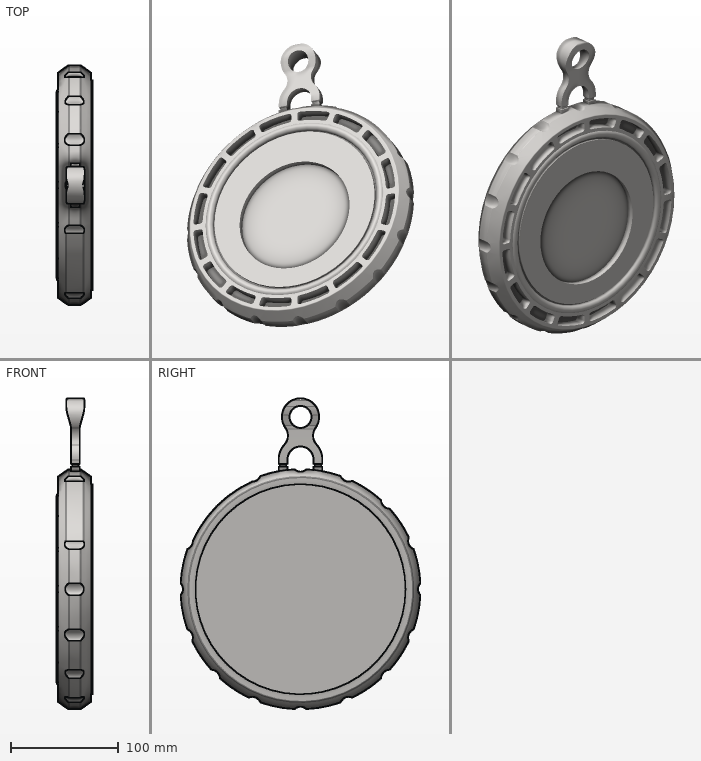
import cadquery as cq
import math

overall_width = 33.57
body_width = 31.0
crown_radius = 111.5
flat_crown_radius = 109.5
shoulder_radius = 104.5
crown_half_width = 5.4
crown_blend = 1.4
shoulder_blend = 1.0

half_body = body_width / 2
lip_height = (overall_width - body_width) / 2

scallop_count = 16
scallop_pitch = 360 / scallop_count
scallop_radius = 8.0
scallop_floor_radii = (109.2, 108.9)
sector_start = scallop_pitch
sector_angle = 2 * scallop_pitch
plain_scallop = 2

bead_crest_radius = 85.7
bead_tube_radius = 4.1
back_plate_radius = 97.5

floor_radius = 80.0
floor_depth = 0.7
groove_depth = 3.0
pocket_radius = 55.0
pocket_centre_z = -6.0
pocket_depth = 6.5

slot_count = 16
slot_inner_radius = 91.8
slot_outer_radius = 101.0
slot_depth = 11.0
slot_corner = 2.5
rib_width = 6.0

hanger_x = 0.8
eye_centre_z = 159.95
eye_hole_radius = 10.1
eye_top_z = 177.3
eye_radius = eye_top_z - eye_centre_z
arch_centre_z = 120.4
arch_radius = 12.0
fork_radius = 20.4
waist_radius = 12.5

hanger_thickness = 8.4
eye_thickness = 17.0
eye_edge_blend = 1.8
eye_flat_z = 169.8
taper_top_z = 162.0
taper_top_half = 7.3
taper_bottom_z = 152.4
taper_bottom_half = 4.6
eye_foot_z = 149.0

fork_tip_z = 116.7
tip_chamfer = 1.1
tip_neck_z = fork_tip_z - tip_chamfer
foot_top_z = 113.7
foot_bottom_z = 105.0


def turned_x(section, angle):
    """Revolve an XY section about X, starting at -Y and turning towards +Z."""
    return section.revolve(angle, (0, 0, 0), (-1, 0, 0))


def make_disc():
    """Rim with conical flanks and a flat crown that is lower over one sector."""
    section = (
        cq.Workplane("XY")
        .polyline([
            (-half_body, 0),
            (-half_body, -shoulder_radius),
            (-crown_half_width, -crown_radius),
            (crown_half_width, -crown_radius),
            (half_body, -shoulder_radius),
            (half_body, 0),
        ])
        .close()
    )
    clear_radius = 2 * crown_radius - flat_crown_radius
    crown_cut = (
        cq.Workplane("XY")
        .polyline([
            (-half_body, -flat_crown_radius),
            (half_body, -flat_crown_radius),
            (half_body, -clear_radius),
            (-half_body, -clear_radius),
        ])
        .close()
    )
    sector = turned_x(crown_cut, sector_angle).rotate((0, 0, 0), (1, 0, 0), -sector_start)
    disc = turned_x(section, 360).cut(sector)

    by_radius = cq.selectors.RadiusNthSelector
    flat_crown, full_crown, shoulder = 1, -1, 0
    for rank, blend in ((flat_crown, crown_blend), (full_crown, crown_blend), (shoulder, shoulder_blend)):
        disc = disc.edges("%CIRCLE").edges(by_radius(rank)).fillet(blend)
    return disc


def make_bead():
    """Torus bedded in the -X side face, with its inner flank standing in the groove."""
    tube_centre_x = bead_tube_radius - half_body - lip_height
    return (
        cq.Workplane("XY")
        .center(tube_centre_x, bead_crest_radius)
        .circle(bead_tube_radius)
        .revolve(360, (-tube_centre_x, -bead_crest_radius, 0), (1 - tube_centre_x, -bead_crest_radius, 0))
    )


def make_back_plate():
    return cq.Workplane("YZ", origin=(half_body, 0, 0)).circle(back_plate_radius).extrude(lip_height)


def make_recesses():
    face = cq.Workplane("YZ", origin=(-half_body, 0, 0))
    floor = face.circle(floor_radius).extrude(floor_depth)
    groove = face.circle(bead_crest_radius).circle(floor_radius).extrude(groove_depth)
    pocket = face.center(0, pocket_centre_z).circle(pocket_radius).extrude(floor_depth + pocket_depth)
    return floor.union(groove).union(pocket)


def make_scallop(index):
    """Cylindrical groove across the rim; positions count from -Y towards +Z."""
    groove_floor = scallop_floor_radii[index % len(scallop_floor_radii)]
    cutter = (
        cq.Workplane("YZ", origin=(-half_body, 0, 0))
        .center(0, groove_floor + scallop_radius)
        .circle(scallop_radius)
        .extrude(body_width)
    )
    return cutter.rotate((0, 0, 0), (1, 0, 0), 90 - index * scallop_pitch)


def make_slots():
    """Annulus divided by parallel-sided ribs, with rounded corners."""
    slots = (
        cq.Workplane("YZ", origin=(-half_body, 0, 0))
        .circle(slot_outer_radius)
        .circle(slot_inner_radius)
        .extrude(slot_depth)
    )
    slot_pitch = 360 / slot_count
    for index in range(slot_count):
        rib = cq.Workplane("XY").box(body_width, rib_width, crown_radius, (True, True, False))
        slots = slots.cut(rib.rotate((0, 0, 0), (1, 0, 0), index * slot_pitch))
    return slots.edges("|X").fillet(slot_corner)


def hanger_outline():
    """Eye and fork joined by concave waist arcs tangent to both."""
    eye_reach = eye_radius + waist_radius
    fork_reach = fork_radius + waist_radius
    span = eye_centre_z - arch_centre_z
    waist_rise = (fork_reach**2 - eye_reach**2 + span**2) / (2 * span)
    waist_y = math.sqrt(fork_reach**2 - waist_rise**2)
    waist_z = arch_centre_z + waist_rise

    fork_y = waist_y * fork_radius / fork_reach
    fork_z = arch_centre_z + waist_rise * fork_radius / fork_reach
    eye_y = waist_y * eye_radius / eye_reach
    eye_z = eye_centre_z + (waist_z - eye_centre_z) * eye_radius / eye_reach

    middle_angle = math.atan2(fork_z - arch_centre_z, fork_y) / 2
    fork_middle_y = fork_radius * math.cos(middle_angle)
    fork_middle_z = arch_centre_z + fork_radius * math.sin(middle_angle)
    waist_inner_y = waist_y - waist_radius

    return (
        cq.Workplane("YZ", origin=(hanger_x - eye_thickness / 2, 0, 0))
        .moveTo(fork_radius, fork_tip_z)
        .lineTo(fork_radius, arch_centre_z)
        .threePointArc((fork_middle_y, fork_middle_z), (fork_y, fork_z))
        .threePointArc((waist_inner_y, waist_z), (eye_y, eye_z))
        .threePointArc((0, eye_centre_z + eye_radius), (-eye_y, eye_z))
        .threePointArc((-waist_inner_y, waist_z), (-fork_y, fork_z))
        .threePointArc((-fork_middle_y, fork_middle_z), (-fork_radius, arch_centre_z))
        .lineTo(-fork_radius, fork_tip_z)
        .lineTo(-arch_radius, fork_tip_z)
        .lineTo(-arch_radius, arch_centre_z)
        .threePointArc((0, arch_centre_z + arch_radius), (arch_radius, arch_centre_z))
        .lineTo(arch_radius, fork_tip_z)
        .close()
        .extrude(eye_thickness)
    )


def hanger_side_profile():
    """Thickness profile: thin fork flaring into a thick eye with rounded top edges."""
    half_thin = hanger_thickness / 2
    half_eye = eye_thickness / 2
    flare = (taper_top_half - taper_bottom_half, taper_top_z - taper_bottom_z)
    profile = (
        cq.Workplane("XZ", origin=(hanger_x, fork_radius, 0))
        .moveTo(half_thin, fork_tip_z)
        .lineTo(half_thin, eye_foot_z)
        .tangentArcPoint((taper_bottom_half, taper_bottom_z), relative=False)
        .lineTo(taper_top_half, taper_top_z)
        .spline([(half_eye, eye_flat_z)], tangents=[flare, (0, 1)], includeCurrent=True)
        .lineTo(half_eye, eye_top_z)
        .lineTo(0, eye_top_z)
        .lineTo(0, fork_tip_z)
        .close()
        .extrude(2 * fork_radius)
    )
    profile = profile.edges("|Y and >X and >Z").fillet(eye_edge_blend)
    return profile.union(profile.mirror("YZ", (hanger_x, 0, 0)))


def make_leg_end(side):
    """Chamfered tip, slim neck and foot that join one fork leg to the rim."""
    leg_width = fork_radius - arch_radius
    leg_y = side * (fork_radius + arch_radius) / 2
    neck_width = leg_width - 2 * tip_chamfer
    neck_thickness = hanger_thickness - 2 * tip_chamfer
    tip = (
        cq.Workplane("XY", origin=(hanger_x, leg_y, fork_tip_z))
        .rect(hanger_thickness, leg_width)
        .workplane(offset=tip_neck_z - fork_tip_z)
        .rect(neck_thickness, neck_width)
        .loft()
    )
    neck = (
        cq.Workplane("XY", origin=(hanger_x, leg_y, foot_top_z))
        .rect(neck_thickness, neck_width)
        .extrude(tip_neck_z - foot_top_z)
    )
    foot = (
        cq.Workplane("XY", origin=(hanger_x, leg_y, foot_bottom_z))
        .rect(hanger_thickness, leg_width)
        .extrude(foot_top_z - foot_bottom_z)
    )
    return tip.union(neck).union(foot)


def make_hanger():
    hanger = hanger_outline().intersect(hanger_side_profile())
    eye_hole = (
        cq.Workplane("YZ", origin=(hanger_x - eye_thickness, 0, eye_centre_z))
        .circle(eye_hole_radius)
        .extrude(2 * eye_thickness)
    )
    hanger = hanger.cut(eye_hole)
    for side in (-1, 1):
        hanger = hanger.union(make_leg_end(side))
    return hanger


disc = make_disc()
for scallop in range(scallop_count):
    if scallop != plain_scallop:
        disc = disc.cut(make_scallop(scallop))
disc = disc.cut(make_recesses()).cut(make_slots())
disc = disc.union(make_bead()).union(make_back_plate())

result = disc.union(make_hanger())